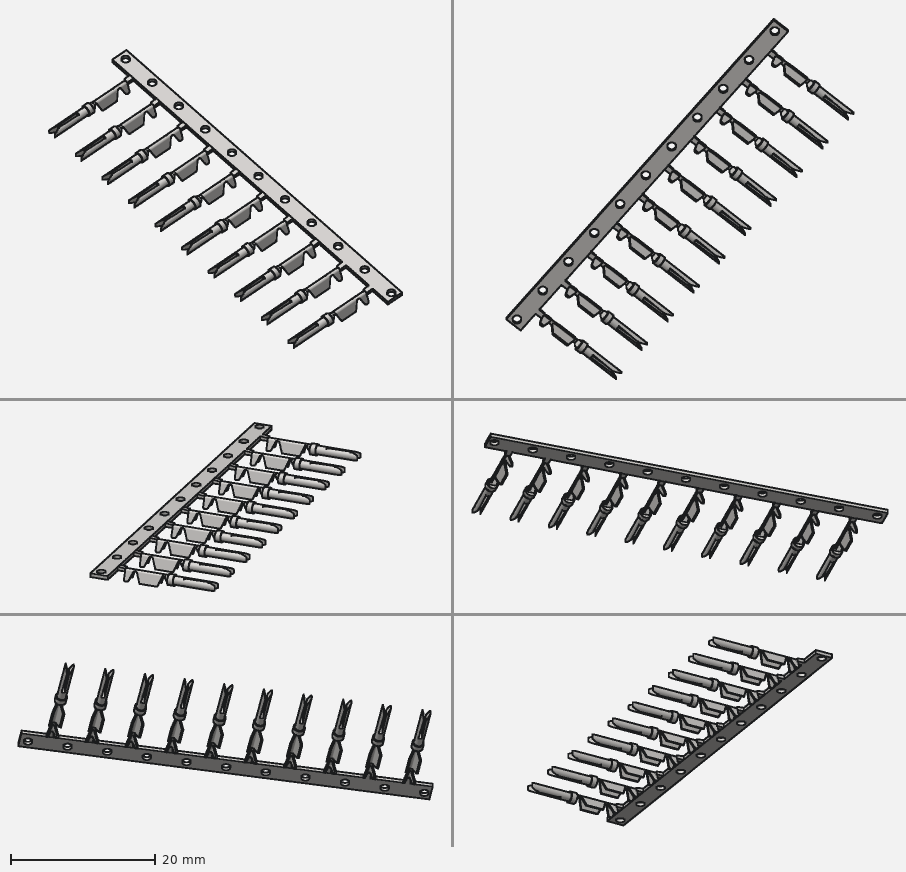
import cadquery as cq
import math

STRIP_LENGTH = 58.0
STRIP_WIDTH = 2.6
STRIP_THICKNESS = 0.6
PILOT_DIAMETER = 1.2
PILOT_INSET = 1.15
FIRST_PILOT_X = 1.15
LAST_PILOT_INSET = 0.9
FIRST_CONTACT_X = 4.05
CONTACT_COUNT = 10
FUSED_COUNT = 2
LOOSE_COUNT = CONTACT_COUNT - FUSED_COUNT
PILOT_COUNT = CONTACT_COUNT + 1
PITCH = (STRIP_LENGTH - FIRST_PILOT_X - LAST_PILOT_INSET) / CONTACT_COUNT

TAB_START = STRIP_WIDTH
CRIMP_START = 3.65
COLLAR_START = 10.15
COLLAR_END = 11.0
SLOT_START = 12.5
TIP = 17.3

TAB_ROOT_WIDTH = 0.8
TAB_END_WIDTH = 0.75
TAB_END_DROP = 0.1

COLLAR_RADIUS = 0.8
PIN_RADIUS = 0.65
AXIS_Z = -COLLAR_RADIUS
SLOT_ROOT_WIDTH = 0.45
SLOT_TIP_WIDTH = 0.3
MOUTH_WIDTH = 1.1
MOUTH_DEPTH = 1.2

CRIMP_TOP = AXIS_Z + PIN_RADIUS
CRIMP_BOTTOM = -1.85
SPINE_RADIUS = 0.375
SHEET = 0.25
WING_LEAN = math.radians(20)

WING_ROOT_Z = -0.35
REAR_WING_ROUND = 0.3
NOTCH_CENTRE = 5.15
NOTCH_TOP_WIDTH = 0.45
NOTCH_BOTTOM_WIDTH = 1.75
NOTCH_ROUND = 0.2
FRONT_WING_END = 8.7
FRONT_WING_ROOT = 9.3

CUTTER_WIDTH = 4 * COLLAR_RADIUS
MARGIN = 0.05

NECK_START = 9.65
NECK_BOTTOM = -1.1
NECK_RADIUS = 0.6


def make_strip():
    pilots = [(FIRST_PILOT_X + i * PITCH, -PILOT_INSET) for i in range(PILOT_COUNT)]
    strip = cq.Workplane("XY").box(STRIP_LENGTH, STRIP_WIDTH, STRIP_THICKNESS, centered=False)
    strip = strip.translate((0, -STRIP_WIDTH, -STRIP_THICKNESS))
    holes = cq.Workplane("XY").pushPoints(pilots).circle(PILOT_DIAMETER / 2).extrude(-STRIP_THICKNESS)
    return strip.cut(holes)


def side_prism(points, width):
    """Prism centred on X = 0 from (station, z) points."""
    outline = [(-station, z) for station, z in points]
    return cq.Workplane("YZ").polyline(outline).close().extrude(width / 2, both=True)


def plan_prism(points):
    """Prism through the whole contact height from (x, station) points."""
    outline = [(x, -station) for x, station in points]
    return cq.Workplane("XY").polyline(outline).close().extrude(2 * CRIMP_BOTTOM, both=True)


def make_tab():
    side = side_prism([
        (TAB_START, 0),
        (CRIMP_START, -TAB_END_DROP),
        (CRIMP_START, -STRIP_THICKNESS),
        (TAB_START, -STRIP_THICKNESS),
    ], TAB_ROOT_WIDTH)
    plan = plan_prism([
        (-TAB_ROOT_WIDTH / 2, TAB_START),
        (TAB_ROOT_WIDTH / 2, TAB_START),
        (TAB_END_WIDTH / 2, CRIMP_START),
        (-TAB_END_WIDTH / 2, CRIMP_START),
    ])
    return side.intersect(plan)


def make_channel():
    """Full-length channel, open downward, before its wings are trimmed."""
    centre_z = CRIMP_TOP - SPINE_RADIUS

    def arc_point(radius, angle):
        return radius * math.cos(angle), centre_z + radius * math.sin(angle)

    def foot(radius):
        x, z = arc_point(radius, WING_LEAN)
        return x + (z - CRIMP_BOTTOM) * math.tan(WING_LEAN), CRIMP_BOTTOM

    def mirrored(point):
        return -point[0], point[1]

    inner = SPINE_RADIUS - SHEET
    outer_end = arc_point(SPINE_RADIUS, WING_LEAN)
    inner_end = arc_point(inner, WING_LEAN)
    section = (
        cq.Workplane("XZ", origin=(0, -CRIMP_START, 0))
        .moveTo(*foot(SPINE_RADIUS))
        .lineTo(*outer_end)
        .threePointArc((0, CRIMP_TOP), mirrored(outer_end))
        .lineTo(*mirrored(foot(SPINE_RADIUS)))
        .lineTo(*mirrored(foot(inner)))
        .lineTo(*mirrored(inner_end))
        .threePointArc((0, CRIMP_TOP - SHEET), inner_end)
        .lineTo(*foot(inner))
        .close()
    )
    return section.extrude(COLLAR_START - CRIMP_START)


def make_crimp():
    channel = make_channel()
    notch = side_prism([
        (NOTCH_CENTRE - NOTCH_BOTTOM_WIDTH / 2, CRIMP_BOTTOM),
        (NOTCH_CENTRE - NOTCH_TOP_WIDTH / 2, WING_ROOT_Z),
        (NOTCH_CENTRE + NOTCH_TOP_WIDTH / 2, WING_ROOT_Z),
        (NOTCH_CENTRE + NOTCH_BOTTOM_WIDTH / 2, CRIMP_BOTTOM),
    ], CUTTER_WIDTH)
    notch = notch.faces(">Z").edges("|X").fillet(NOTCH_ROUND)
    front_gap = side_prism([
        (FRONT_WING_END, CRIMP_BOTTOM),
        (FRONT_WING_ROOT, WING_ROOT_Z),
        (COLLAR_START, WING_ROOT_Z),
        (COLLAR_START, CRIMP_BOTTOM),
    ], CUTTER_WIDTH)
    crimp = channel.cut(notch).cut(front_gap)
    rear_wing_end = NOTCH_CENTRE - NOTCH_BOTTOM_WIDTH / 2
    rear_wing_feet = cq.selectors.BoxSelector(
        (-CUTTER_WIDTH, -rear_wing_end - MARGIN, CRIMP_BOTTOM - MARGIN),
        (CUTTER_WIDTH, -CRIMP_START + MARGIN, CRIMP_BOTTOM + MARGIN),
    )
    return crimp.edges(rear_wing_feet).edges("|X").fillet(REAR_WING_ROUND)


def make_neck():
    trim = side_prism([
        (NECK_START, 0),
        (NECK_START, WING_ROOT_Z),
        (COLLAR_START, NECK_BOTTOM),
        (COLLAR_START, 0),
    ], CUTTER_WIDTH)
    round_bar = (
        cq.Workplane("XZ", origin=(0, -NECK_START, AXIS_Z))
        .circle(NECK_RADIUS)
        .extrude(COLLAR_START - NECK_START)
    )
    return round_bar.intersect(trim)


def make_pin():
    """Collar and pin turned about the contact axis, then split by the slot."""
    profile = [
        (COLLAR_START, 0),
        (COLLAR_START, COLLAR_RADIUS),
        (COLLAR_END, COLLAR_RADIUS),
        (COLLAR_END, PIN_RADIUS),
        (TIP, PIN_RADIUS),
        (TIP, 0),
    ]
    turned = (
        cq.Workplane("YZ", origin=(0, 0, AXIS_Z))
        .polyline([(-station, radius) for station, radius in profile])
        .close()
        .revolve(360, (0, 0, 0), (1, 0, 0))
    )
    mouth_start = TIP - MOUTH_DEPTH
    right_edge = [
        (SLOT_ROOT_WIDTH / 2, SLOT_START),
        (SLOT_TIP_WIDTH / 2, mouth_start),
        (MOUTH_WIDTH / 2, TIP),
    ]
    left_edge = [(-x, station) for x, station in reversed(right_edge)]
    return turned.cut(plan_prism(right_edge + left_edge))


def make_contact():
    return make_tab().union(make_crimp()).union(make_neck()).union(make_pin())


contact = make_contact()
positions = [FIRST_CONTACT_X + i * PITCH for i in range(CONTACT_COUNT)]
loose_contacts = [contact.translate((x, 0, 0)) for x in positions[:LOOSE_COUNT]]

carrier = make_strip()
for x in positions[LOOSE_COUNT:]:
    carrier = carrier.union(contact.translate((x, 0, 0)))

result = cq.Compound.makeCompound([carrier.val(), *[body.val() for body in loose_contacts]])